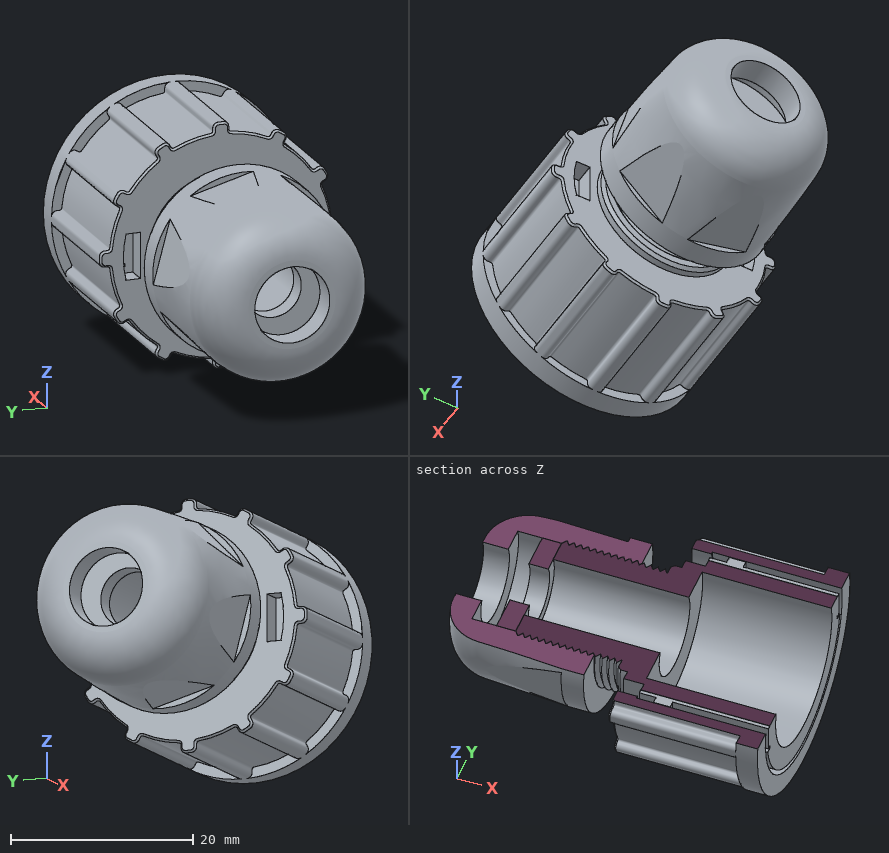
import cadquery as cq
import math


NUT_BORE_END = 3.05
SEAL_START = 5.9
FLAT_START = 6.1
FLAT_END = 14.9
NUT_END = 17.52
COLLAR_START = 20.6
CUP_START = 21.75
RIM_START = 36.75
CUP_END = 39.3

NUT_RADIUS = 10.7
DOME_RADIUS = 5.05
NUT_FACE_RADIUS = 5.1
NUT_BORE_RADIUS = 4.4
FLAT_COUNT = 6
FLAT_FIRST_ANGLE = 45.0
FLAT_START_DISTANCE = 10.2
FLAT_END_DISTANCE = 9.98

THREAD_ROOT_RADIUS = 7.2
THREAD_CREST_RADIUS = 7.75
THREAD_PITCH = 0.83
THREAD_COUNT = 15
THREAD_START = COLLAR_START - THREAD_COUNT * THREAD_PITCH

SEAL_BORE_RADIUS = 3.3

GLAND_BORE_RADIUS = 4.7
COLLAR_RADIUS = 8.55
COLLAR_CHAMFER = 0.4
CUP_DIAMETER = 28.5
CUP_RADIUS = CUP_DIAMETER / 2
DRUM_RADIUS = 13.1
CUP_CHAMFER = 0.25
CUP_WALL = 2.35
CUP_CAVITY_RADIUS = 11.8
CAVITY_START = CUP_START + CUP_WALL
SLEEVE_RADIUS = 11.25
SLEEVE_BORE_RADIUS = 8.65

RIB_COUNT = 12
RIB_WIDTH = 1.9
RIB_TIP_FILLET = 0.63
RIB_ROOT_FILLET = 0.28

WINDOW_WIDTH = 5.35
WINDOW_INNER = 9.5
WINDOW_OUTER_RADIUS = 11.5
LATCH_CHANNEL_WIDTH = 3.85
LATCH_CHANNEL_FLOOR = 10.4
LATCH_WIDTH = 3.22
LATCH_TOP = 10.85
HOOK_TOP = 11.63
HOOK_LENGTH = 1.95
HOOK_START = CAVITY_START + HOOK_LENGTH


def cylinder(start, end, radius):
    """Solid cylinder on the X axis."""
    return cq.Workplane("YZ", origin=(start, 0, 0)).circle(radius).extrude(end - start)


def tube(start, end, outer_radius, inner_radius):
    """Round tube on the X axis."""
    return cylinder(start, end, outer_radius).cut(cylinder(start, end, inner_radius))


def block(start, end, y_inner, y_outer, width):
    """Box between two Y levels, centred on Z = 0."""
    size = (end - start, y_outer - y_inner, width)
    return cq.Workplane("XY", origin=(start, y_inner, 0)).box(*size, centered=(False, False, True))


def revolve_about_x(profile):
    return profile.close().revolve(360, (0, 0, 0), (1, 0, 0))


def on_both_sides(shape):
    """The shape on the +Y side together with its half-turn copy on the -Y side."""
    return shape.union(shape.rotate((0, 0, 0), (1, 0, 0), 180))


def make_thread():
    """Threaded rod made of equal V-shaped ridges."""
    profile = cq.Workplane("XY").moveTo(THREAD_START, 0).lineTo(THREAD_START, THREAD_ROOT_RADIUS)
    for i in range(THREAD_COUNT):
        root = THREAD_START + i * THREAD_PITCH
        profile = profile.lineTo(root + THREAD_PITCH / 2, THREAD_CREST_RADIUS)
        profile = profile.lineTo(root + THREAD_PITCH, THREAD_ROOT_RADIUS)
    return revolve_about_x(profile.lineTo(COLLAR_START, 0))


def make_nut_blank():
    """Dome that runs tangentially into a slight cone and ends in a cylinder."""
    run = FLAT_END - DOME_RADIUS
    rise = NUT_RADIUS - NUT_FACE_RADIUS
    taper = math.atan2(rise, run) - math.asin(DOME_RADIUS / math.hypot(run, rise))

    def dome_point(angle):
        x = DOME_RADIUS * (1 - math.sin(angle))
        return (x, NUT_FACE_RADIUS + DOME_RADIUS * math.cos(angle))

    profile = (
        cq.Workplane("XY")
        .lineTo(0, NUT_FACE_RADIUS)
        .threePointArc(dome_point((taper + math.pi / 2) / 2), dome_point(taper))
        .lineTo(FLAT_END, NUT_RADIUS)
        .lineTo(NUT_END, NUT_RADIUS)
        .lineTo(NUT_END, 0)
    )
    return revolve_about_x(profile)


def make_flat_cutter():
    """Wedge above one flat, which leans slightly towards the axis."""
    slope = (FLAT_END_DISTANCE - FLAT_START_DISTANCE) / (FLAT_END - FLAT_START)
    distance_at_face = FLAT_START_DISTANCE - slope * (FLAT_START - DOME_RADIUS)
    return (
        cq.Workplane("XZ")
        .moveTo(DOME_RADIUS, distance_at_face)
        .lineTo(FLAT_END, FLAT_END_DISTANCE)
        .lineTo(FLAT_END, 2 * NUT_RADIUS)
        .lineTo(DOME_RADIUS, 2 * NUT_RADIUS)
        .close()
        .extrude(NUT_RADIUS, both=True)
    )


def make_nut(thread):
    nut = make_nut_blank()
    cutter = make_flat_cutter()
    for i in range(FLAT_COUNT):
        angle = FLAT_FIRST_ANGLE + i * 360 / FLAT_COUNT
        nut = nut.cut(cutter.rotate((0, 0, 0), (1, 0, 0), angle))
    nut = nut.cut(cylinder(0, NUT_BORE_END, NUT_BORE_RADIUS))
    nut = nut.cut(cylinder(NUT_BORE_END, THREAD_START, THREAD_ROOT_RADIUS))
    return nut.cut(thread)


def make_seal():
    """Ring between the end of the gland thread and the open front of the nut."""
    return tube(SEAL_START, THREAD_START, THREAD_ROOT_RADIUS, SEAL_BORE_RADIUS)


def make_ribbed_drum():
    """Drum with rounded grip ribs, chamfered around its front outline."""
    rib = block(CUP_START, RIM_START, 0, 2 * CUP_RADIUS, RIB_WIDTH)
    rib = rib.intersect(cylinder(CUP_START, RIM_START, CUP_RADIUS))
    tip_edges = cq.selectors.BoxSelector(
        (CUP_START, DRUM_RADIUS, -RIB_WIDTH), (RIM_START, CUP_RADIUS, RIB_WIDTH)
    )
    rib = rib.edges("|X").edges(tip_edges).fillet(RIB_TIP_FILLET)

    drum = cylinder(CUP_START, RIM_START, DRUM_RADIUS)
    for i in range(RIB_COUNT):
        drum = drum.union(rib.rotate((0, 0, 0), (1, 0, 0), i * 360 / RIB_COUNT))

    root_depth = math.sqrt(DRUM_RADIUS**2 - (RIB_WIDTH / 2) ** 2)
    middle = (CUP_START + RIM_START) / 2
    for i in range(RIB_COUNT):
        angle = 2 * math.pi * i / RIB_COUNT
        for side in (-RIB_WIDTH / 2, RIB_WIDTH / 2):
            y = root_depth * math.cos(angle) - side * math.sin(angle)
            z = root_depth * math.sin(angle) + side * math.cos(angle)
            root_edge = cq.selectors.NearestToPointSelector((middle, y, z))
            drum = drum.edges("|X").edges(root_edge).fillet(RIB_ROOT_FILLET)
    return drum.faces("<X").edges().chamfer(CUP_CHAMFER)


def make_cup():
    """Ribbed cup with a double wall, open at its far end."""
    cup = make_ribbed_drum().union(cylinder(RIM_START, CUP_END, CUP_RADIUS))
    cup = cup.cut(cylinder(CAVITY_START, CUP_END, CUP_CAVITY_RADIUS))
    sleeve = tube(CAVITY_START, CUP_END, SLEEVE_RADIUS, SLEEVE_BORE_RADIUS)
    channel = block(CAVITY_START, CUP_END, LATCH_CHANNEL_FLOOR, SLEEVE_RADIUS, LATCH_CHANNEL_WIDTH)
    return cup.union(sleeve.cut(on_both_sides(channel)))


def make_latches():
    """Rails in the sleeve channels, each with a raised hook facing its window."""
    rail = block(CAVITY_START, CUP_END, LATCH_CHANNEL_FLOOR, LATCH_TOP, LATCH_WIDTH)
    hook = block(HOOK_START, HOOK_START + HOOK_LENGTH, LATCH_CHANNEL_FLOOR, HOOK_TOP, LATCH_WIDTH)
    return on_both_sides(rail.union(hook))


def make_windows():
    """Openings through the end wall of the cup, rounded on the outside."""
    window = block(CUP_START, CAVITY_START, WINDOW_INNER, CUP_RADIUS, WINDOW_WIDTH)
    return on_both_sides(window.intersect(cylinder(CUP_START, CAVITY_START, WINDOW_OUTER_RADIUS)))


def make_housing(thread):
    collar = cylinder(COLLAR_START, CUP_START, COLLAR_RADIUS).faces("<X").chamfer(COLLAR_CHAMFER)
    housing = make_cup().union(make_latches()).cut(make_windows())
    housing = housing.union(collar).union(thread)
    return housing.cut(cylinder(THREAD_START, CAVITY_START, GLAND_BORE_RADIUS))


gland_thread = make_thread()
nut = make_nut(gland_thread)
seal = make_seal()
housing = make_housing(gland_thread)

result = cq.Compound.makeCompound([nut.val(), seal.val(), housing.val()])